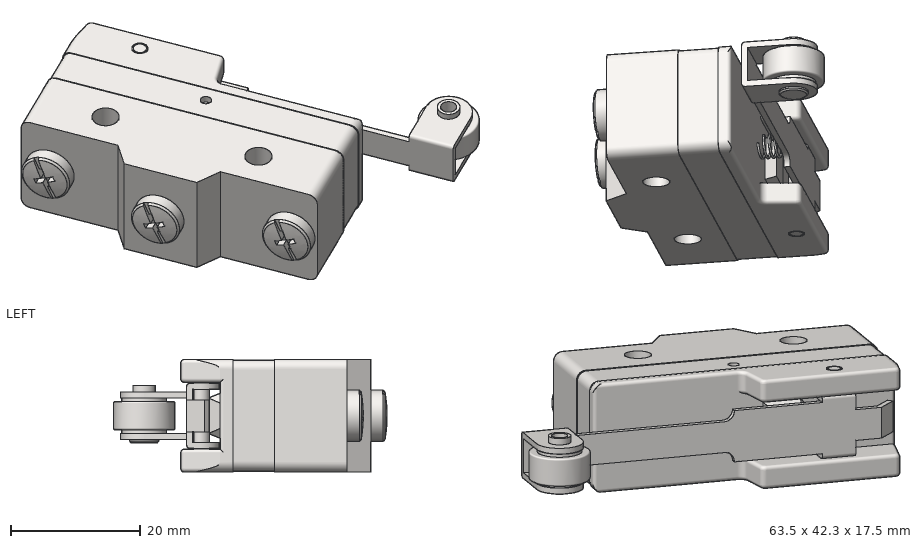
import cadquery as cq
import math


LENGTH = 49.2
WIDTH = 17.45
OVERALL_LENGTH = 63.5
MID_Z = WIDTH / 2
CORNER_RADIUS = 1.5
BASE_TOP = 11.25
BAND_TOP = 17.6
BAND_INSET = 0.1
SHELF_TOP = 19.6
CHEEK_TOP = 25.7
EDGE_RADIUS = 0.6

TERMINAL_X = LENGTH / 2
TERMINAL_DROP = 3.7
TERMINAL_BOTTOM_WIDTH = 12.05
TERMINAL_TOP_WIDTH = 17.0

CHANNEL_WIDTH = 10.3
CHEEK_THICKNESS = (WIDTH - CHANNEL_WIDTH) / 2
CHEEK_FRONT_LEAN = 1.2
CHEEK_BACK_TOP = 23.75
CHEEK_BACK_FOOT = 24.75
CHEEK_FOOT_RADIUS = 1.15
CHEEK_TIP_RADIUS = 0.9

PAD_START = 13.95
PAD_LENGTH = 7.6
PAD_WIDTH = 7.0
PAD_CHAMFER = 1.5
PAD_HEIGHT = 1.65
PAD_TAPER = 22

MOUNT_HOLE_DIAMETER = 4.2
MOUNT_HOLE_START = 11.9
MOUNT_HOLE_SPACING = 25.4
MOUNT_HOLE_Y = 5.5
DIMPLE_DIAMETER = 1.7
DIMPLE_X = 24.8
DIMPLE_Y = 15.0
DIMPLE_DEPTH = 1.3

SCREW_DIAMETER = 8.0
SCREW_RIM_HEIGHT = 1.9
SCREW_CHAMFER = 0.3
SCREW_HEIGHT = 2.55
SLOT_WIDTH = 0.8
SLOT_DEPTH = 0.7
SLOT_ANGLE = 23.5
CROSS_LENGTH = 3.4
CROSS_DEPTH = 1.3
SCREW_SPACING_LEFT = 19.7
SCREW_SPACING_RIGHT = 20.3
CENTER_SCREW_X = 24.5

PIN_DIAMETER = 2.5
PIN_END_DIAMETER = 2.0
PIN_X = 10.9
PIN_Y = 22.5

SHEET = 0.95
BEND_RADIUS = 0.6
LEVER_TOP = 24.8
LEVER_BOTTOM = LEVER_TOP - SHEET
STRIP_WIDTH = 4.95
HINGE_WIDTH = 10.1
TAB_RADIUS = 2.7
HINGE_START = PIN_X - TAB_RADIUS
HINGE_END = PIN_X + TAB_RADIUS
NECK_START = 28.0
NECK_RADIUS = 1.65
TONGUE_TIP_DROP = 2.8
TONGUE_END_X = 1.2
TONGUE_ANGLE = math.radians(45)
BOSS_DIAMETER = 2.85
BOSS_HEIGHT = 0.6

ROLLER_DIAMETER = 9.5
ROLLER_X = OVERALL_LENGTH - ROLLER_DIAMETER / 2
ROLLER_Y = 31.35
EAR_WIDTH = 7.35
FORK_WIDTH = 7.35

AXLE_DIAMETER = 3.5
AXLE_BORE = 2.5
AXLE_BORE_DEPTH = 3.8
AXLE_END_HEIGHT = 1.0
RIVET_HEAD_DIAMETER = 4.6
RIVET_HEAD_HEIGHT = 0.5
RIVET_HEAD_CHAMFER = 0.25

ROLLER_WIDTH = 4.4
ROLLER_EDGE_RADIUS = 0.25
HUB_DIAMETER = 7.0

SPRING_DIAMETER = 3.8
WIRE_DIAMETER = 0.3
SPRING_PITCH = 0.9
SPRING_X = 26.55
SPRING_END_GAP = 0.05


def box(x0, x1, y0, y1, z0, z1):
    """Axis-aligned block between two opposite corners."""
    return cq.Workplane("XY").box(x1 - x0, y1 - y0, z1 - z0, centered=False).translate((x0, y0, z0))


def cylinder_z(diameter, x, y, z0, z1):
    """Cylinder along Z between two heights."""
    return cq.Workplane("XY", origin=(x, y, z0)).circle(diameter / 2).extrude(z1 - z0)


def rounded_block(inset, y0, y1):
    """Housing layer whose corner edges along Y are rounded."""
    block = box(inset, LENGTH - inset, y0, y1, inset, WIDTH - inset)
    return block.edges("|Y").fillet(CORNER_RADIUS)


def cheek_rail():
    """One side of the cover: a cheek and its stretch of shelf, with all top edges rounded."""
    rail = (
        cq.Workplane("XY")
        .moveTo(0, BAND_TOP)
        .lineTo(LENGTH, BAND_TOP)
        .lineTo(LENGTH, SHELF_TOP)
        .lineTo(CHEEK_BACK_FOOT, SHELF_TOP)
        .lineTo(CHEEK_BACK_TOP, CHEEK_TOP)
        .lineTo(CHEEK_FRONT_LEAN, CHEEK_TOP)
        .lineTo(0, SHELF_TOP)
        .close()
        .extrude(CHEEK_THICKNESS)
    )
    foot = cq.selectors.NearestToPointSelector((CHEEK_BACK_FOOT, SHELF_TOP, CHEEK_THICKNESS / 2))
    rail = rail.edges(foot).fillet(CHEEK_FOOT_RADIUS)
    shelf_end = cq.selectors.NearestToPointSelector((LENGTH, SHELF_TOP, CHEEK_THICKNESS / 2))
    rail = rail.edges(shelf_end).fillet(EDGE_RADIUS)
    rail = rail.faces(">Y").edges("|Z").fillet(CHEEK_TIP_RADIUS)
    upper_edges = cq.selectors.BoxSelector(
        (-0.65, BAND_TOP + EDGE_RADIUS, -0.65), (LENGTH + 0.65, CHEEK_TOP + 0.65, WIDTH)
    )
    return rail.edges("#Z").edges(upper_edges).fillet(EDGE_RADIUS)


def make_cover():
    """Top layer: a flat shelf with two cheeks that stand beside the lever hinge."""
    rail = cheek_rail()
    shelf = box(0, LENGTH, BAND_TOP, SHELF_TOP, EDGE_RADIUS, WIDTH - EDGE_RADIUS)
    shelf = shelf.faces(">Y").edges("|Z").fillet(EDGE_RADIUS)
    cover = shelf.union(rail).union(rail.mirror("XY", (0, 0, MID_Z)))
    return cover.intersect(rounded_block(0, BAND_TOP, CHEEK_TOP))


def make_pad():
    """Tapered pad with cut front corners and a front ramp, on the channel floor."""
    half = PAD_WIDTH / 2
    pad = (
        cq.Workplane("XZ", origin=(PAD_START, SHELF_TOP, MID_Z))
        .moveTo(PAD_LENGTH, -half)
        .lineTo(PAD_LENGTH, half)
        .lineTo(PAD_CHAMFER, half)
        .lineTo(0, half - PAD_CHAMFER)
        .lineTo(0, PAD_CHAMFER - half)
        .lineTo(PAD_CHAMFER, -half)
        .close()
        .extrude(-PAD_HEIGHT, taper=PAD_TAPER)
    )
    ramp_cut = (
        cq.Workplane("XY")
        .moveTo(PAD_START, SHELF_TOP)
        .lineTo(PAD_START + PAD_HEIGHT, SHELF_TOP + PAD_HEIGHT)
        .lineTo(PAD_START, SHELF_TOP + PAD_HEIGHT)
        .close()
        .extrude(WIDTH)
    )
    return pad.cut(ramp_cut)


def make_terminal_block():
    """Trapezoidal block that lowers the middle terminal below the other two."""
    half_top = TERMINAL_TOP_WIDTH / 2
    half_bottom = TERMINAL_BOTTOM_WIDTH / 2
    outline = [
        (TERMINAL_X - half_top, 0),
        (TERMINAL_X - half_bottom, -TERMINAL_DROP),
        (TERMINAL_X + half_bottom, -TERMINAL_DROP),
        (TERMINAL_X + half_top, 0),
    ]
    return cq.Workplane("XY").polyline(outline).close().extrude(WIDTH)


def make_screw_head():
    """Domed screw head that points toward -Y from the origin, with a slot and a cross recess."""
    radius = SCREW_DIAMETER / 2
    dome_radius = radius - SCREW_CHAMFER
    dome_start = SCREW_RIM_HEIGHT + SCREW_CHAMFER
    dome_mid = SCREW_HEIGHT - (SCREW_HEIGHT - dome_start) / 4
    head = (
        cq.Workplane("XY")
        .lineTo(radius, 0)
        .lineTo(radius, -SCREW_RIM_HEIGHT)
        .lineTo(dome_radius, -dome_start)
        .threePointArc((dome_radius / 2, -dome_mid), (0, -SCREW_HEIGHT))
        .close()
        .revolve(360, (0, 0, 0), (0, 1, 0))
    )
    half_slot = SLOT_WIDTH / 2
    half_cross = CROSS_LENGTH / 2
    slot = box(-half_slot, half_slot, -SCREW_HEIGHT, SLOT_DEPTH - SCREW_HEIGHT, -radius, radius)
    cross_floor = CROSS_DEPTH - SCREW_HEIGHT
    cross = box(-half_cross, half_cross, -SCREW_HEIGHT, cross_floor, -half_slot, half_slot)
    cross = cross.union(box(-half_slot, half_slot, -SCREW_HEIGHT, cross_floor, -half_cross, half_cross))
    return head.cut(slot).cut(cross).rotate((0, 0, 0), (0, 1, 0), -SLOT_ANGLE)


def make_housing():
    """Housing with its terminal screws, mounting holes and hinge pin hole."""
    base = rounded_block(0, 0, BASE_TOP)
    band = rounded_block(BAND_INSET, BASE_TOP, BAND_TOP)
    housing = base.union(band).union(make_cover()).union(make_pad()).union(make_terminal_block())

    screw_places = [
        (CENTER_SCREW_X - SCREW_SPACING_LEFT, 0),
        (CENTER_SCREW_X, -TERMINAL_DROP),
        (CENTER_SCREW_X + SCREW_SPACING_RIGHT, 0),
    ]
    for x, y in screw_places:
        housing = housing.union(make_screw_head().translate((x, y, MID_Z)))

    for x in (MOUNT_HOLE_START, MOUNT_HOLE_START + MOUNT_HOLE_SPACING):
        housing = housing.cut(cylinder_z(MOUNT_HOLE_DIAMETER, x, MOUNT_HOLE_Y, 0, WIDTH))
    dimple = cylinder_z(DIMPLE_DIAMETER, DIMPLE_X, DIMPLE_Y, WIDTH - DIMPLE_DEPTH, WIDTH)
    housing = housing.cut(dimple)

    return housing.cut(cylinder_z(PIN_DIAMETER, PIN_X, PIN_Y, 0, WIDTH))


def make_hinge_pin():
    """Pin with chamfered ends through both cheeks and lever tabs, flush with the housing sides."""
    pin = cylinder_z(PIN_DIAMETER, PIN_X, PIN_Y, 0, WIDTH)
    return pin.faces("|Z").edges().chamfer((PIN_DIAMETER - PIN_END_DIAMETER) / 2)


def round_ended_plate(x, y_end, radius, y_flat, z0):
    """Sheet plate with a round end centred at (x, y_end) and a straight end at y_flat."""
    side = math.copysign(radius, y_end - y_flat)
    return (
        cq.Workplane("XY", origin=(0, 0, z0))
        .moveTo(x - radius, y_flat)
        .lineTo(x - radius, y_end)
        .threePointArc((x, y_end + side), (x + radius, y_end))
        .lineTo(x + radius, y_flat)
        .close()
        .extrude(SHEET)
    )


def make_hinge_bracket():
    """Bent part of the lever: a wide web with two round-ended tabs that turn down to the pin."""
    half = HINGE_WIDTH / 2
    web = box(HINGE_START, HINGE_END, LEVER_BOTTOM, LEVER_TOP, MID_Z - half, MID_Z + half)
    for z0 in (MID_Z - half, MID_Z + half - SHEET):
        web = web.union(round_ended_plate(PIN_X, PIN_Y, TAB_RADIUS, LEVER_TOP, z0))
    web = web.faces(">Y").edges("|X").fillet(BEND_RADIUS)
    return web.cut(cylinder_z(PIN_DIAMETER, PIN_X, PIN_Y, 0, WIDTH))


def make_strip():
    """Straight strip of the lever, which narrows through concave arcs beyond the hinge bracket."""
    narrow = STRIP_WIDTH / 2
    wide = narrow + NECK_RADIUS
    neck_end = NECK_START + NECK_RADIUS
    arc_reach = NECK_RADIUS * (1 - math.sqrt(0.5))
    neck_mid_x = NECK_START + arc_reach
    neck_mid_z = narrow + arc_reach
    return (
        cq.Workplane("XZ", origin=(0, LEVER_BOTTOM, MID_Z))
        .moveTo(HINGE_END, -wide)
        .lineTo(NECK_START, -wide)
        .threePointArc((neck_mid_x, -neck_mid_z), (neck_end, -narrow))
        .lineTo(ROLLER_X, -narrow)
        .lineTo(ROLLER_X, narrow)
        .lineTo(neck_end, narrow)
        .threePointArc((neck_mid_x, neck_mid_z), (NECK_START, wide))
        .lineTo(HINGE_END, wide)
        .close()
        .extrude(-SHEET)
    )


def make_tongue():
    """Tail of the lever: runs back from the bracket and bends down by 45 degrees at its end."""
    bend_x = TONGUE_END_X + TONGUE_TIP_DROP / math.tan(TONGUE_ANGLE)
    step_x = SHEET * math.sin(TONGUE_ANGLE)
    step_y = SHEET * math.cos(TONGUE_ANGLE)
    setback = SHEET * math.tan(TONGUE_ANGLE / 2)
    tip_y = LEVER_TOP - TONGUE_TIP_DROP
    outline = [
        (HINGE_START + SHEET, LEVER_TOP),
        (bend_x, LEVER_TOP),
        (TONGUE_END_X, tip_y),
        (TONGUE_END_X + step_x, tip_y - step_y),
        (bend_x + setback, LEVER_BOTTOM),
        (HINGE_START + SHEET, LEVER_BOTTOM),
    ]
    start = MID_Z - STRIP_WIDTH / 2
    return cq.Workplane("XY", origin=(0, 0, start)).polyline(outline).close().extrude(STRIP_WIDTH)


def make_fork():
    """Fork at the lever end: a floor and two round-topped ears that carry the roller."""
    half = FORK_WIDTH / 2
    ear_radius = EAR_WIDTH / 2
    fork = box(
        ROLLER_X - ear_radius, ROLLER_X + ear_radius, LEVER_BOTTOM, LEVER_TOP, MID_Z - half, MID_Z + half
    )
    for z0 in (MID_Z - half, MID_Z + half - SHEET):
        fork = fork.union(round_ended_plate(ROLLER_X, ROLLER_Y, ear_radius, LEVER_BOTTOM, z0))
    return fork.faces("<Y").edges("|X").fillet(BEND_RADIUS)


def make_lever():
    """Bent sheet lever with its spring boss and the hollow roller axle riveted into the fork."""
    lever = make_hinge_bracket().union(make_strip()).union(make_tongue()).union(make_fork())
    boss = (
        cq.Workplane("XZ", origin=(SPRING_X, LEVER_BOTTOM, MID_Z))
        .circle(BOSS_DIAMETER / 2)
        .extrude(BOSS_HEIGHT)
    )
    fork_bottom = MID_Z - FORK_WIDTH / 2
    axle_top = MID_Z + FORK_WIDTH / 2 + AXLE_END_HEIGHT
    axle = cylinder_z(AXLE_DIAMETER, ROLLER_X, ROLLER_Y, fork_bottom, axle_top)
    head_bottom = fork_bottom - RIVET_HEAD_HEIGHT
    head = cylinder_z(RIVET_HEAD_DIAMETER, ROLLER_X, ROLLER_Y, head_bottom, fork_bottom)
    head = head.faces("<Z").edges().chamfer(RIVET_HEAD_CHAMFER)
    bore = cylinder_z(AXLE_BORE, ROLLER_X, ROLLER_Y, axle_top - AXLE_BORE_DEPTH, axle_top)
    return lever.union(boss).union(axle).union(head).cut(bore)


def make_roller():
    """Roller with a hub that fills the space between the fork ears."""
    half = ROLLER_WIDTH / 2
    hub_half = FORK_WIDTH / 2 - SHEET
    roller = cylinder_z(ROLLER_DIAMETER, ROLLER_X, ROLLER_Y, MID_Z - half, MID_Z + half)
    roller = roller.edges().fillet(ROLLER_EDGE_RADIUS)
    hub = cylinder_z(HUB_DIAMETER, ROLLER_X, ROLLER_Y, MID_Z - hub_half, MID_Z + hub_half)
    return roller.union(hub).cut(cylinder_z(AXLE_DIAMETER, ROLLER_X, ROLLER_Y, 0, WIDTH))


def make_spring():
    """Coil spring that stands on the shelf and reaches the underside of the lever."""
    wire_radius = WIRE_DIAMETER / 2
    coil_radius = SPRING_DIAMETER / 2 - wire_radius
    coil_height = LEVER_BOTTOM - SHELF_TOP - SPRING_END_GAP - WIRE_DIAMETER
    path = cq.Wire.makeHelix(SPRING_PITCH, coil_height, coil_radius)
    coil = cq.Workplane("XZ", origin=(coil_radius, 0, 0)).circle(wire_radius)
    spring = coil.sweep(cq.Workplane(path), isFrenet=True)
    upright = spring.rotate((0, 0, 0), (1, 0, 0), -90)
    return upright.translate((SPRING_X, SHELF_TOP + wire_radius, MID_Z))


housing = make_housing()
hinge_pin = make_hinge_pin()
lever = make_lever()
roller = make_roller()
spring = make_spring()

bodies = [housing, hinge_pin, lever, roller, spring]
result = cq.Compound.makeCompound([body.solids().val() for body in bodies])